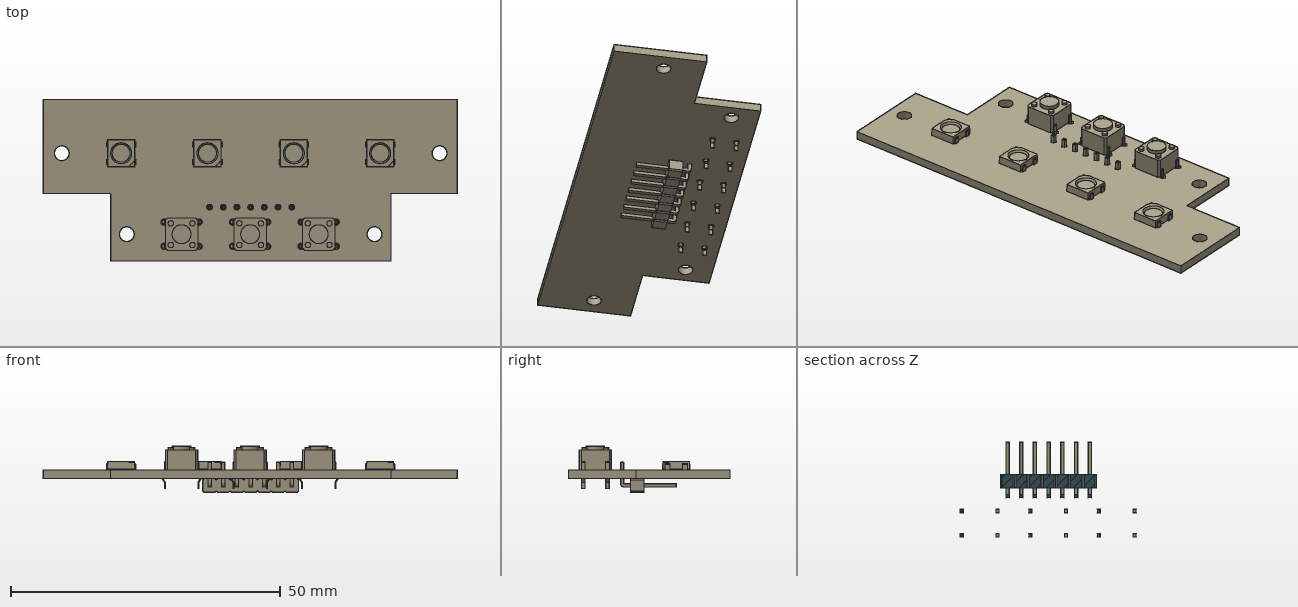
import cadquery as cq

BOARD_LENGTH = 76.75
BOARD_LEFT = -38.45
BOARD_DEPTH = 30.0
BOARD_THICKNESS = 1.6
TONGUE_LEFT = -25.95
TONGUE_LENGTH = 52.0
TONGUE_DEPTH = 12.5
MOUNT_HOLE_DIAMETER = 2.7
WING_HOLE_X = 35.0
TONGUE_HOLE_X = 22.95

LED_COUNT = 4
LED_PITCH = 16.0
LED_ROW_Y = 20.0
BUTTON_COUNT = 3
BUTTON_PITCH = 12.7
BUTTON_ROW_X = -0.1
BUTTON_ROW_Y = 5.0
PIN_COUNT = 7
PIN_PITCH = 2.54
PIN_ROW_Y = 10.0

LED_BASE_SIZE = 5.1
LED_TOP_SIZE = 4.95
LED_HEIGHT = 1.6
LED_STANDOFF = 0.15
LENS_RIM_DIAMETER = 3.9
LENS_FLOOR_DIAMETER = 3.33
LENS_DEPTH = 0.4
CORNER_MARK_LEG = 1.2
CORNER_MARK_DEPTH = 0.25
LED_LEAD_SPAN = 5.5
LED_LEAD_WIDTH = 0.9
LED_LEAD_HEIGHT = 1.15
LED_LEAD_BEVEL = 0.15
LED_LEAD_OFFSET = 1.6

BUTTON_SIZE = 6.0
BUTTON_BODY_HEIGHT = 3.7
BUTTON_CORNER_CHAMFER = 0.4
BOSS_DIAMETER = 1.0
BOSS_HEIGHT = 0.45
BOSS_OFFSET = 2.0
CAP_DIAMETER = 3.5
CAP_HEIGHT = 0.7
LEG_WIDTH = 0.7
LEG_THICKNESS = 0.2
LEG_OFFSET = 2.25
LEG_TOP = 1.55
LEG_TOP_BEVEL = 0.15
LEG_BULGE = 0.45
LEG_BULGE_RISE = 0.8
LEG_BULGE_FALL = 0.7
LEG_LENGTH_BELOW_BOARD = 1.87
LEG_HOLE_DIAMETER = 1.1
LEG_HOLE_X = 3.25

HEADER_SIZE = 2.54
HEADER_CHAMFER = 0.25
HEADER_OFFSET = 1.5
PIN_WIDTH = 0.64
PIN_TAIL_LENGTH = 6.0
PIN_HEIGHT_ABOVE_BOARD = 1.5
PIN_TIP_TAPER = 0.15
PIN_BEND_RADIUS = PIN_WIDTH
PIN_HOLE_DIAMETER = 1.0


def row_positions(count, pitch, center=0.0):
    """X positions of a row of equally spaced parts."""
    return [center + (i - (count - 1) / 2) * pitch for i in range(count)]


led_xs = row_positions(LED_COUNT, LED_PITCH)
button_xs = row_positions(BUTTON_COUNT, BUTTON_PITCH, BUTTON_ROW_X)
pin_xs = row_positions(PIN_COUNT, PIN_PITCH)


def make_board():
    board_right = BOARD_LEFT + BOARD_LENGTH
    tongue_right = TONGUE_LEFT + TONGUE_LENGTH
    outline = [
        (BOARD_LEFT, BOARD_DEPTH),
        (BOARD_LEFT, TONGUE_DEPTH),
        (TONGUE_LEFT, TONGUE_DEPTH),
        (TONGUE_LEFT, 0),
        (tongue_right, 0),
        (tongue_right, TONGUE_DEPTH),
        (board_right, TONGUE_DEPTH),
        (board_right, BOARD_DEPTH),
    ]
    mount_holes = [(side * WING_HOLE_X, LED_ROW_Y) for side in (-1, 1)]
    mount_holes += [(side * TONGUE_HOLE_X, BUTTON_ROW_Y) for side in (-1, 1)]
    leg_holes = [
        (x + side_x * LEG_HOLE_X, BUTTON_ROW_Y + side_y * LEG_OFFSET)
        for x in button_xs
        for side_x in (-1, 1)
        for side_y in (-1, 1)
    ]
    pin_holes = [(x, PIN_ROW_Y) for x in pin_xs]

    board = cq.Workplane("XY").polyline(outline).close().extrude(BOARD_THICKNESS)
    for points, diameter in (
        (mount_holes, MOUNT_HOLE_DIAMETER),
        (leg_holes, LEG_HOLE_DIAMETER),
        (pin_holes, PIN_HOLE_DIAMETER),
    ):
        cutters = cq.Workplane("XY").pushPoints(points).circle(diameter / 2).extrude(BOARD_THICKNESS)
        board = board.cut(cutters)
    return board


def make_led():
    package = (
        cq.Workplane("XY", origin=(0, 0, LED_STANDOFF))
        .rect(LED_BASE_SIZE, LED_BASE_SIZE)
        .workplane(offset=LED_HEIGHT - LED_STANDOFF)
        .rect(LED_TOP_SIZE, LED_TOP_SIZE)
        .loft(ruled=True)
    )
    lens = (
        cq.Workplane("XY", origin=(0, 0, LED_HEIGHT))
        .circle(LENS_RIM_DIAMETER / 2)
        .workplane(offset=-LENS_DEPTH)
        .circle(LENS_FLOOR_DIAMETER / 2)
        .loft(ruled=True)
    )
    half = LED_BASE_SIZE / 2
    corner_mark = (
        cq.Workplane("XY", origin=(half, -half, LED_HEIGHT))
        .polyline([(0, 0), (0, CORNER_MARK_LEG), (-CORNER_MARK_LEG, 0)])
        .close()
        .extrude(-CORNER_MARK_DEPTH)
    )
    leads = (
        cq.Workplane("XY")
        .pushPoints([(0, -LED_LEAD_OFFSET), (0, LED_LEAD_OFFSET)])
        .rect(LED_LEAD_SPAN, LED_LEAD_WIDTH)
        .extrude(LED_LEAD_HEIGHT)
        .faces(">Z")
        .edges("|Y")
        .chamfer(LED_LEAD_BEVEL)
    )
    return package.cut(lens).cut(corner_mark).union(leads)


def make_button():
    button = (
        cq.Workplane("XY")
        .rect(BUTTON_SIZE, BUTTON_SIZE)
        .extrude(BUTTON_BODY_HEIGHT)
        .edges("|Z")
        .chamfer(BUTTON_CORNER_CHAMFER)
    )
    top = cq.Workplane("XY", origin=(0, 0, BUTTON_BODY_HEIGHT))
    bosses = top.rect(2 * BOSS_OFFSET, 2 * BOSS_OFFSET, forConstruction=True).vertices()
    button = button.union(bosses.circle(BOSS_DIAMETER / 2).extrude(BOSS_HEIGHT))
    button = button.union(top.circle(CAP_DIAMETER / 2).extrude(CAP_HEIGHT))

    inner = BUTTON_SIZE / 2
    outer = inner + LEG_THICKNESS
    bulge_z = -BOARD_THICKNESS
    bulge_start = bulge_z + LEG_BULGE_RISE
    bulge_end = bulge_z - LEG_BULGE_FALL
    leg_end = bulge_z - LEG_LENGTH_BELOW_BOARD
    leg_profile = [
        (inner, LEG_TOP),
        (outer - LEG_TOP_BEVEL, LEG_TOP),
        (outer, LEG_TOP - LEG_TOP_BEVEL),
        (outer, bulge_start),
        (outer + LEG_BULGE, bulge_z),
        (outer, bulge_end),
        (outer, leg_end),
        (inner, leg_end),
        (inner, bulge_end),
        (inner + LEG_BULGE, bulge_z),
        (inner, bulge_start),
    ]
    leg = cq.Workplane("XZ").polyline(leg_profile).close().extrude(LEG_WIDTH / 2, both=True)
    for leg_y in (-LEG_OFFSET, LEG_OFFSET):
        placed = leg.translate((0, leg_y, 0))
        button = button.union(placed).union(placed.mirror("YZ"))
    return button


def make_header_pin():
    """Right-angle pin at X = 0: a vertical leg through the board and a tail along +Y."""
    axis_z = -HEADER_SIZE / 2
    half = PIN_WIDTH / 2
    tip_z = BOARD_THICKNESS + PIN_HEIGHT_ABOVE_BOARD
    tail_end = PIN_ROW_Y + HEADER_OFFSET + HEADER_SIZE + PIN_TAIL_LENGTH
    leg_front = PIN_ROW_Y - half
    leg_back = PIN_ROW_Y + half
    profile = [
        (leg_front, tip_z),
        (leg_back, tip_z),
        (leg_back, axis_z + half),
        (tail_end, axis_z + half),
        (tail_end, axis_z - half),
        (leg_front, axis_z - half),
    ]
    pin = cq.Workplane("YZ").polyline(profile).close().extrude(half, both=True)
    pin = pin.edges("|X").edges("<Y").edges("<Z").fillet(PIN_BEND_RADIUS)
    return pin.faces(">Z").chamfer(PIN_TIP_TAPER)


def make_header():
    half = HEADER_SIZE / 2
    block = (
        cq.Workplane("XY")
        .box(HEADER_SIZE, HEADER_SIZE, HEADER_SIZE)
        .edges("|Y")
        .chamfer(HEADER_CHAMFER)
        .translate((0, PIN_ROW_Y + HEADER_OFFSET + half, -half))
    )
    segment = block.union(make_header_pin())
    header = segment.translate((pin_xs[0], 0, 0))
    for x in pin_xs[1:]:
        header = header.union(segment.translate((x, 0, 0)))
    return header


board = make_board()
led = make_led()
button = make_button()
header = make_header()

leds = [led.translate((x, LED_ROW_Y, BOARD_THICKNESS)) for x in led_xs]
buttons = [button.translate((x, BUTTON_ROW_Y, BOARD_THICKNESS)) for x in button_xs]

result = cq.Compound.makeCompound(
    [
        board.val(),
        *[one.val() for one in leds],
        *[one.val() for one in buttons],
        header.val(),
    ]
)